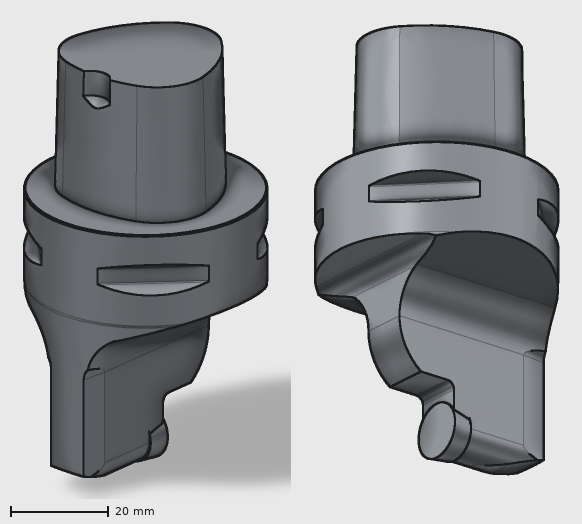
import cadquery as cq
import math


shank_height = 30.0
lobe_apex = 18.8
side_apex = 16.24
lobe_radius = 11.6
shank_taper = math.degrees(math.atan(1 / 40))

notch_radius = 4.1
notch_axis_y = -17.5
notch_depth = 5.5
notch_tip_depth = 2.9

flange_radius = 25.0
flange_height = 20.25
flange_chamfer = 0.3
neck_radius = 24.9
neck_step_height = 0.5

slot_count = 4
slot_floor_distance = 22.2
slot_center_z = -10.0
slot_floor_height = 3.5
slot_mouth_height = 6.8
slot_fillet = 0.4

insert_radius = 6.0
insert_thickness = 4.7
insert_relief = 7.0
insert_bottom_z = shank_height - 90
insert_center_z = insert_bottom_z + insert_radius

blade_half_width = 5.1
shoulder_edge_z = -19.2
blade_fillet_radius = 11.0
blade_fillet_z = -33.7
shoulder_inner_x = 10.8

flange_underside_z = -20.0
underside_inner_z = -20.6
back_y = 13.9
back_fillet_radius = 3.8
back_curve_radius = 13.5
step_z = -44.7
step_fillet_radius = 1.7
seat_face_y = -0.45
heel_tangent_y = -9.4
heel_radius = 24.3
heel_angle = math.radians(18)

edge_start_y = -18.7
edge_half_width = 4.4
edge_runout_radius = 3.4


def polar(radius, degrees):
    angle = math.radians(degrees)
    return (radius * math.cos(angle), radius * math.sin(angle))


def make_shank():
    """Six tangent arcs, three lobes and three flanks, drawn in towards the top."""
    lobe_center = lobe_apex - lobe_radius
    lobe_x, lobe_y = polar(lobe_center, -30)
    drop = side_apex + lobe_y
    flank_radius = (lobe_x**2 + drop**2 - lobe_radius**2) / (2 * (drop - lobe_radius))
    flank_center_y = flank_radius - side_apex
    join_direction = math.atan2(lobe_y - flank_center_y, lobe_x)
    join_x = flank_radius * math.cos(join_direction)
    join_y = flank_center_y + flank_radius * math.sin(join_direction)
    join_radius = math.hypot(join_x, join_y)
    join_angle = math.degrees(math.atan2(join_y, join_x))
    lobe_half_angle = -30 - join_angle

    outline = cq.Workplane("XY").moveTo(join_x, join_y)
    for lobe_angle in (-30, 90, 210):
        lobe_end = polar(join_radius, lobe_angle + lobe_half_angle)
        next_join = polar(join_radius, join_angle + lobe_angle + 150)
        outline = outline.threePointArc(polar(lobe_apex, lobe_angle), lobe_end)
        outline = outline.threePointArc(polar(side_apex, lobe_angle + 60), next_join)
    shank = outline.close().extrude(shank_height, taper=shank_taper)
    return shank.cut(make_notch())


def make_notch():
    """Round-nosed cutter: a cylinder with a conical bottom."""
    floor_z = shank_height - notch_depth
    profile = [
        (0, shank_height),
        (notch_radius, shank_height),
        (notch_radius, floor_z),
        (0, floor_z - notch_tip_depth),
    ]
    notch = cq.Workplane("XZ").polyline(profile).close().revolve(360, (0, 0), (0, 1))
    return notch.translate((0, notch_axis_y, 0))


def make_round_stock():
    """Chamfered flange, short conical step, and the slightly smaller neck below it."""
    neck_top_z = -flange_height - neck_step_height
    profile = [
        (0, 0),
        (flange_radius - flange_chamfer, 0),
        (flange_radius, -flange_chamfer),
        (flange_radius, -flange_height),
        (neck_radius, neck_top_z),
        (neck_radius, insert_bottom_z),
        (0, insert_bottom_z),
    ]
    return cq.Workplane("XZ").polyline(profile).close().revolve(360, (0, 0), (0, 1))


def make_blade_section():
    """Sloping shoulders, concave fillets, parallel sides and a rounded bottom, along Y."""
    fillet_center_x = blade_half_width + blade_fillet_radius

    def fillet_z(x):
        return blade_fillet_z + math.sqrt(blade_fillet_radius**2 - (fillet_center_x - x)**2)

    middle_angle = (180 + math.degrees(math.acos((shoulder_inner_x - fillet_center_x)
                                                 / blade_fillet_radius))) / 2
    middle_dx, middle_dz = polar(blade_fillet_radius, middle_angle)
    middle_x = fillet_center_x + middle_dx
    middle_z = blade_fillet_z + middle_dz
    shoulder_inner_z = fillet_z(shoulder_inner_x)
    return (
        cq.Workplane("XZ")
        .moveTo(-flange_radius, 0)
        .lineTo(flange_radius, 0)
        .lineTo(flange_radius, shoulder_edge_z)
        .lineTo(shoulder_inner_x, shoulder_inner_z)
        .threePointArc((middle_x, middle_z), (blade_half_width, blade_fillet_z))
        .lineTo(blade_half_width, insert_center_z)
        .threePointArc((0, insert_center_z - blade_half_width), (-blade_half_width, insert_center_z))
        .lineTo(-blade_half_width, blade_fillet_z)
        .threePointArc((-middle_x, middle_z), (-shoulder_inner_x, shoulder_inner_z))
        .lineTo(-flange_radius, shoulder_edge_z)
        .close()
        .extrude(flange_radius, both=True)
    )


def make_side_outline():
    """Back edge, step above the insert seat, and heel of the blade, along X."""
    blade_bottom_z = insert_center_z - blade_half_width
    back_curve_center_y = back_y - back_curve_radius
    back_curve_drop = blade_fillet_z - step_z
    step_outer_y = back_curve_center_y + math.sqrt(back_curve_radius**2 - back_curve_drop**2)
    back_curve_angle = math.asin(back_curve_drop / back_curve_radius)
    back_middle = (
        back_curve_center_y + back_curve_radius * math.cos(back_curve_angle / 2),
        blade_fillet_z - back_curve_radius * math.sin(back_curve_angle / 2),
    )
    heel_end_y = heel_tangent_y - heel_radius * math.sin(heel_angle)
    heel_end_z = blade_bottom_z + heel_radius * (1 - math.cos(heel_angle))
    heel_middle = (
        heel_tangent_y - heel_radius * math.sin(heel_angle / 2),
        blade_bottom_z + heel_radius * (1 - math.cos(heel_angle / 2)),
    )
    front_z = heel_end_z + (heel_end_y + flange_radius) * math.tan(heel_angle)
    return (
        cq.Workplane("YZ")
        .moveTo(-flange_radius, 0)
        .lineTo(flange_radius, 0)
        .lineTo(flange_radius, flange_underside_z)
        .lineTo(back_y + back_fillet_radius, underside_inner_z)
        .radiusArc((back_y, underside_inner_z - back_fillet_radius), -back_fillet_radius)
        .lineTo(back_y, blade_fillet_z)
        .threePointArc(back_middle, (step_outer_y, step_z))
        .lineTo(seat_face_y + step_fillet_radius, step_z)
        .radiusArc((seat_face_y, step_z - step_fillet_radius), -step_fillet_radius)
        .lineTo(seat_face_y, blade_bottom_z)
        .lineTo(heel_tangent_y, blade_bottom_z)
        .threePointArc(heel_middle, (heel_end_y, heel_end_z))
        .lineTo(-flange_radius, front_z)
        .close()
        .extrude(flange_radius, both=True)
    )


def make_edge_cutter():
    """Slanted cutter that narrows the +X side of the blade towards its front face."""
    taper_run = flange_radius + edge_start_y
    taper_angle = math.degrees(math.atan((blade_half_width - edge_half_width) / taper_run))
    outer_x = blade_half_width + edge_runout_radius
    cutter = (
        cq.Workplane("XZ", origin=(0, edge_start_y, 0))
        .moveTo(blade_half_width, insert_bottom_z)
        .lineTo(blade_half_width, blade_fillet_z)
        .radiusArc((outer_x, blade_fillet_z + edge_runout_radius), edge_runout_radius)
        .lineTo(outer_x, insert_bottom_z)
        .close()
        .extrude(2 * taper_run)
    )
    pivot = (blade_half_width, edge_start_y)
    return cutter.rotate((*pivot, 0), (*pivot, 1), -taper_angle)


def make_slot_cutter(angle):
    """Flat-floored slot with flared walls, tangential to the flange."""
    floor_half = slot_floor_height / 2
    mouth_half = slot_mouth_height / 2
    return (
        cq.Workplane("XZ")
        .polyline([
            (slot_floor_distance, slot_center_z - floor_half),
            (flange_radius, slot_center_z - mouth_half),
            (flange_radius, slot_center_z + mouth_half),
            (slot_floor_distance, slot_center_z + floor_half),
        ])
        .close()
        .extrude(flange_radius, both=True)
        .faces("<X").edges("|Y").fillet(slot_fillet)
        .rotate((0, 0, 0), (0, 0, 1), angle)
    )


def make_insert():
    """Conical disc whose larger, cutting face lies in the plane Y = 0."""
    return (
        cq.Workplane("XZ").center(0, insert_center_z)
        .circle(insert_radius)
        .extrude(insert_thickness, taper=insert_relief)
    )


def make_holder(insert):
    holder = make_round_stock().intersect(make_blade_section()).intersect(make_side_outline())
    edge_cutter = make_edge_cutter()
    holder = holder.cut(edge_cutter).cut(edge_cutter.mirror("YZ"))
    for index in range(slot_count):
        holder = holder.cut(make_slot_cutter(45 + index * 360 / slot_count))
    return holder.union(make_shank()).cut(insert)


insert = make_insert()
holder = make_holder(insert)

result = cq.Compound.makeCompound([holder.val(), insert.val()])